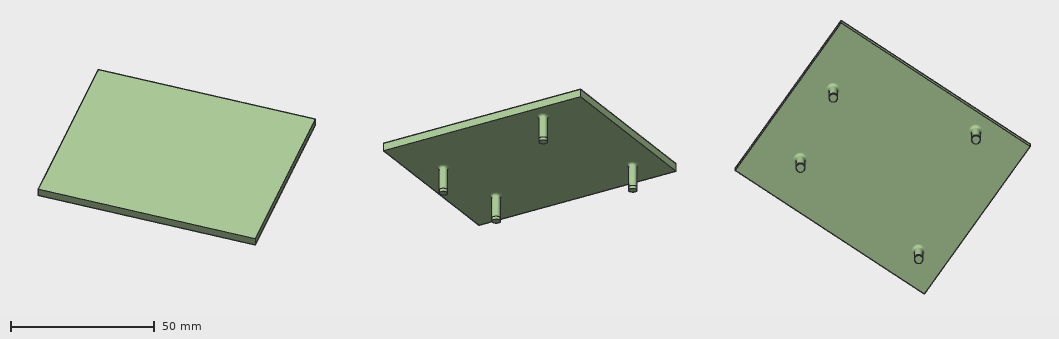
import cadquery as cq

PLATE_LENGTH = 79.86
PLATE_WIDTH = 65.3
PLATE_THICKNESS = 3.0

POST_TOTAL_LENGTH = 10.0
TIP_LENGTH = 1.2
POST_LENGTH = POST_TOTAL_LENGTH - TIP_LENGTH
ROOT_FILLET = 1.0

POSTS = [
    (-29.41, -20.77, 2.96),
    (-21.21, 26.51, 3.04),
    (23.43, -16.51, 3.08),
    (28.43, 11.02, 2.94),
]


def make_post(x, y, diameter):
    """Solid of revolution with a concave fillet flaring out to the plate's underside."""
    radius = diameter / 2
    fillet_mid = ROOT_FILLET * (1 - 0.5**0.5)
    profile = (
        cq.Workplane("XZ")
        .moveTo(0, 0)
        .lineTo(radius + ROOT_FILLET, 0)
        .threePointArc((radius + fillet_mid, -fillet_mid), (radius, -ROOT_FILLET))
        .lineTo(radius, -POST_LENGTH)
        .lineTo(0, -POST_LENGTH)
        .close()
    )
    return profile.revolve(360, (0, 0, 0), (0, 1, 0)).translate((x, y, 0))


def make_plate():
    """Plate and its filleted posts as one body."""
    plate = cq.Workplane("XY").box(
        PLATE_LENGTH, PLATE_WIDTH, PLATE_THICKNESS, centered=(True, True, False)
    )
    for x, y, diameter in POSTS:
        plate = plate.union(make_post(x, y, diameter))
    return plate


def make_tip(x, y, diameter):
    """Short cylinder touching the lower end of a post."""
    return (
        cq.Workplane("XY")
        .workplane(offset=-POST_TOTAL_LENGTH)
        .center(x, y)
        .circle(diameter / 2)
        .extrude(TIP_LENGTH)
    )


plate = make_plate()
tips = [make_tip(x, y, diameter) for x, y, diameter in POSTS]

result = cq.Compound.makeCompound([plate.val(), *[tip.val() for tip in tips]])